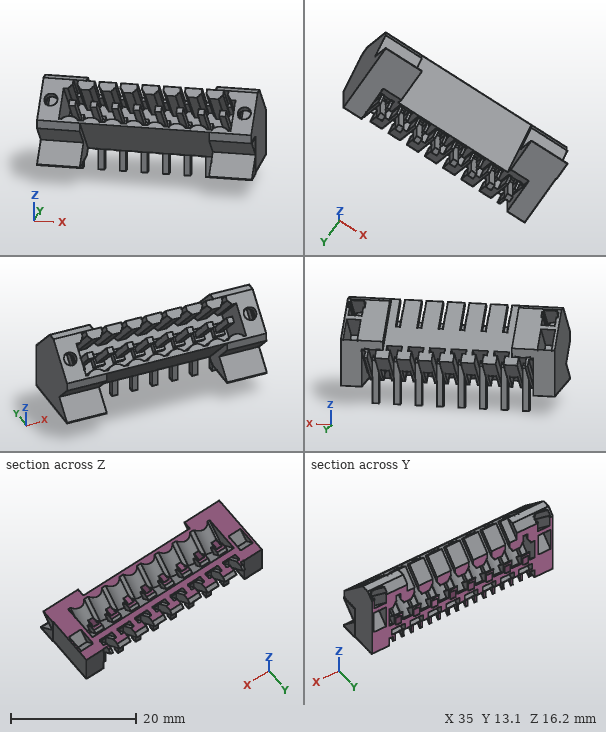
import cadquery as cq
import math

ROOT2 = math.sqrt(2)
FACE_HEIGHT = 7.7
BLOCK_HEIGHT = 12.95
FACE = cq.Plane(origin=(0, 0, FACE_HEIGHT), xDir=(1, 0, 0), normal=(0, -1, 1))

PIN_COUNT = 8
PITCH = 3.5
PIN_SIZE = 1.0
PIN_V = 3.5
PIN_TIP_D = 0.15
PIN_LEG_Y = 9.05
PIN_BOTTOM = -3.25
PIN_XS = [(i - (PIN_COUNT - 1) / 2) * PITCH for i in range(PIN_COUNT)]

HEADER_WIDTH = PIN_COUNT * PITCH
HEADER_V = ROOT2 * (BLOCK_HEIGHT - FACE_HEIGHT)
HEADER_DEPTH = 9.58

CAVITY_V0 = 0.5
CAVITY_V1 = 5.87
CAVITY_DEPTH = 7.85
BUMP_HALF_WIDTH = 1.35
BUMP_HEIGHT = 0.63
COLLAR_WIDTH = 1.68
COLLAR_HEIGHT = 1.92
COLLAR_TOP_D = 6.65

SLOT_WIDTH = 0.77
SLOT_DEPTH = 5.07
GROOVE_V = 6.85
FLARE_WIDTH = 2.03
FLARE_V = 6.68

COMB_DEPTH = 11.1
STRIP_TOP_D = 9.47
STRIP_WIDTH = 0.45
STRIP_V0 = 0.63
GAP_WIDTH = 1.25
NOTCH_WIDTH = 2.45
NOTCH_TOP_D = 8.7
LEDGE_DEPTH = 9.9

BLOCK_INNER_X = 10.52
BLOCK_LEFT_X = -17.48
BLOCK_RIGHT_X = 17.37
BLOCK_BACK_Y = 12.05
BLOCK_RIDGE_Y = 6.7
NOSE_HEIGHT = 1.4
VEE_DEPTH = 3.05
VEE_LIP = 0.17
OVERHANG_WIDTH = 0.1
OVERHANG_DEPTH = 3.15

SCREW_X = 15.73
SCREW_DIAMETER = 2.13
NUT_TOP_D = 1.25
NUT_BOTTOM_D = 4.0
NUT_WIDTH = 2.2
NUT_V0 = 2.45
EAR_WIDTH = 2.7
EAR_TOP_D = 1.5
EAR_BOTTOM_D = 2.45
RELIEF_X = 15.83
RELIEF_WIDTH = 2.3
RELIEF_TOP_D = 4.75
RELIEF_V0 = 3.5

BLOCK_V = (BLOCK_RIDGE_Y + BLOCK_HEIGHT - FACE_HEIGHT) / ROOT2
BLOCK_BACK_D = ROOT2 * BLOCK_BACK_Y - BLOCK_V
BAY_V0 = HEADER_DEPTH - ROOT2 * FACE_HEIGHT
BAY_DEPTH = (BLOCK_BACK_Y + FACE_HEIGHT) / ROOT2
VEE_TOP = FACE_HEIGHT - NOSE_HEIGHT
VEE_ROOT = (VEE_DEPTH, (VEE_TOP + VEE_LIP) / 2)


def tilted_box(x, width, v0, v1, d0, d1):
    """Box in the tilted frame, centred on x."""
    return (
        cq.Workplane(FACE)
        .workplane(offset=-d1)
        .center(x, (v0 + v1) / 2)
        .rect(width, v1 - v0)
        .extrude(d1 - d0)
    )


def side_prism(points, x0, x1):
    """Prism along X from an outline of (y, z) points."""
    return cq.Workplane("YZ", origin=(x0, 0, 0)).polyline(points).close().extrude(x1 - x0)


def make_header_block():
    block = tilted_box(0, HEADER_WIDTH, 0, HEADER_V, 0, HEADER_DEPTH)
    for x in PIN_XS:
        block = block.cut(tilted_box(x, NOTCH_WIDTH, STRIP_V0, HEADER_V, NOTCH_TOP_D, STRIP_TOP_D))
        block = block.cut(tilted_box(x, GAP_WIDTH, STRIP_V0, HEADER_V, NOTCH_TOP_D, COMB_DEPTH))
    return block


def make_comb():
    """Strips on both sides of every pin, joined between the pins, with a ledge at each end."""
    strip_offset = (GAP_WIDTH + STRIP_WIDTH) / 2
    ledge_inner_x = PIN_XS[-1] + GAP_WIDTH / 2 + STRIP_WIDTH
    ledge_width = HEADER_WIDTH / 2 - ledge_inner_x
    pieces = []
    for x in PIN_XS:
        for side in (-1, 1):
            strip_x = x + side * strip_offset
            pieces.append(tilted_box(strip_x, STRIP_WIDTH, STRIP_V0, HEADER_V, STRIP_TOP_D, COMB_DEPTH))
    for x in PIN_XS[:-1]:
        bridge_x = x + PITCH / 2
        bridge_width = PITCH - GAP_WIDTH
        pieces.append(tilted_box(bridge_x, bridge_width, HEADER_V / 2, HEADER_V, STRIP_TOP_D, COMB_DEPTH))
    for side in (-1, 1):
        ledge_x = side * (ledge_inner_x + ledge_width / 2)
        pieces.append(tilted_box(ledge_x, ledge_width, STRIP_V0, HEADER_V, STRIP_TOP_D, LEDGE_DEPTH))
    return pieces


def make_end_block(x0, x1):
    """End block, open below and behind the header so that the outermost pin legs hang free."""
    outline = [
        (0, 0),
        (BLOCK_BACK_Y, 0),
        (BLOCK_BACK_Y, BLOCK_HEIGHT + BLOCK_RIDGE_Y - BLOCK_BACK_Y),
        (BLOCK_RIDGE_Y, BLOCK_HEIGHT),
        (BLOCK_HEIGHT - FACE_HEIGHT, BLOCK_HEIGHT),
        (0, FACE_HEIGHT),
        (0, VEE_TOP),
        VEE_ROOT,
        (0, VEE_LIP),
    ]
    header_space = tilted_box(0, HEADER_WIDTH, 0, HEADER_V, 0, HEADER_DEPTH)
    pin_bay = tilted_box(0, HEADER_WIDTH, BAY_V0, HEADER_V, HEADER_DEPTH, BAY_DEPTH)
    return side_prism(outline, x0, x1).cut(header_space).cut(pin_bay)


def make_overhang():
    outline = [
        (0, 0),
        (OVERHANG_DEPTH, 0),
        (OVERHANG_DEPTH, VEE_TOP),
        (0, VEE_TOP),
        VEE_ROOT,
        (0, VEE_LIP),
    ]
    return side_prism(outline, BLOCK_RIGHT_X, BLOCK_RIGHT_X + OVERHANG_WIDTH)


def make_cavity():
    """Mating cavity; a rounded bump and a collar around the pin are left standing at every pin."""
    collar_v0 = PIN_V - COLLAR_HEIGHT / 2
    collar_v1 = PIN_V + COLLAR_HEIGHT / 2
    cavity = tilted_box(0, HEADER_WIDTH, CAVITY_V0, CAVITY_V1, 0, CAVITY_DEPTH)
    for x in PIN_XS:
        bump = (
            cq.Workplane(FACE)
            .moveTo(x - BUMP_HALF_WIDTH, CAVITY_V0)
            .threePointArc((x, CAVITY_V0 + BUMP_HEIGHT), (x + BUMP_HALF_WIDTH, CAVITY_V0))
            .close()
            .extrude(-CAVITY_DEPTH)
        )
        collar = tilted_box(x, COLLAR_WIDTH, collar_v0, collar_v1, COLLAR_TOP_D, CAVITY_DEPTH)
        cavity = cavity.cut(bump).cut(collar)
    return cavity


def make_key_slot(x):
    slot = tilted_box(x, SLOT_WIDTH, CAVITY_V1, HEADER_V, 0, SLOT_DEPTH)
    groove = tilted_box(x, SLOT_WIDTH, CAVITY_V1, GROOVE_V, 0, CAVITY_DEPTH)
    flare = (
        cq.Workplane(FACE)
        .polyline([
            (x - FLARE_WIDTH / 2, CAVITY_V1),
            (x + FLARE_WIDTH / 2, CAVITY_V1),
            (x + SLOT_WIDTH / 2, FLARE_V),
            (x - SLOT_WIDTH / 2, FLARE_V),
        ])
        .close()
        .extrude(-CAVITY_DEPTH)
    )
    return slot.union(groove).union(flare)


def make_screw_pocket(side):
    x = side * SCREW_X
    hole = (
        cq.Workplane(FACE)
        .center(x, HEADER_V / 2)
        .circle(SCREW_DIAMETER / 2)
        .extrude(-NUT_BOTTOM_D)
    )
    nut = tilted_box(x, NUT_WIDTH, NUT_V0, BLOCK_V, NUT_TOP_D, NUT_BOTTOM_D)
    ears = tilted_box(x, EAR_WIDTH, NUT_V0, BLOCK_V, EAR_TOP_D, EAR_BOTTOM_D)
    relief = tilted_box(side * RELIEF_X, RELIEF_WIDTH, RELIEF_V0, BLOCK_V, RELIEF_TOP_D, BLOCK_BACK_D)
    return hole.union(nut).union(ears).union(relief)


def make_pin(x):
    half = PIN_SIZE / 2
    y_front = PIN_LEG_Y - half
    y_back = PIN_LEG_Y + half

    def tip(v):
        return ((v + PIN_TIP_D) / ROOT2, FACE_HEIGHT + (v - PIN_TIP_D) / ROOT2)

    def bend(y, v):
        return (y, FACE_HEIGHT + ROOT2 * v - y)

    outline = [
        (y_front, PIN_BOTTOM),
        (y_back, PIN_BOTTOM),
        bend(y_back, PIN_V + half),
        tip(PIN_V + half),
        tip(PIN_V - half),
        bend(y_front, PIN_V - half),
    ]
    return side_prism(outline, x - half, x + half)


def make_housing(pins):
    housing = make_header_block()
    for piece in make_comb():
        housing = housing.union(piece)
    housing = housing.union(make_end_block(BLOCK_LEFT_X, -BLOCK_INNER_X))
    housing = housing.union(make_end_block(BLOCK_INNER_X, BLOCK_RIGHT_X))
    housing = housing.union(make_overhang())
    housing = housing.cut(make_cavity())
    for x in PIN_XS:
        housing = housing.cut(make_key_slot(x))
    for side in (-1, 1):
        housing = housing.cut(make_screw_pocket(side))
    for pin in pins:
        housing = housing.cut(pin)
    return housing


pins = [make_pin(x) for x in PIN_XS]
housing = make_housing(pins)
result = cq.Compound.makeCompound([housing.val(), *[pin.val() for pin in pins]])